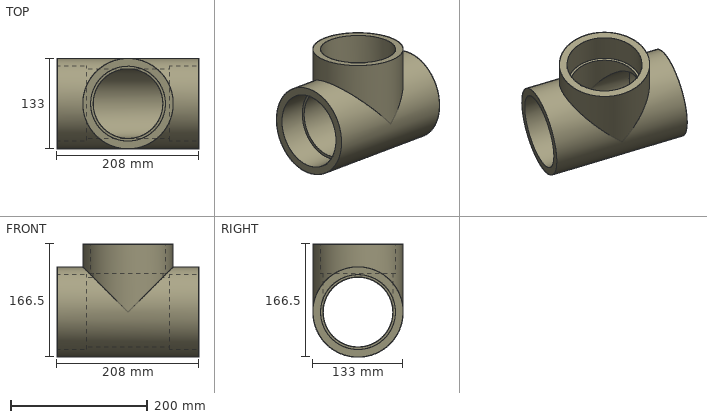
import cadquery as cq

run_length = 208.0
outer_diameter = 133.0
socket_diameter = 110.0
bore_diameter = 102.3
socket_depth = 43.0
total_height = 166.5

half_run = run_length / 2
branch_reach = total_height - outer_diameter / 2


def cylinder(diameter, start, direction, length):
    return cq.Workplane(
        cq.Solid.makeCylinder(diameter / 2, length, cq.Vector(*start), cq.Vector(*direction))
    )


def tee(diameter):
    """Run and branch cylinders of one diameter, joined at the origin."""
    run = cylinder(diameter, (-half_run, 0, 0), (1, 0, 0), run_length)
    branch = cylinder(diameter, (0, 0, 0), (0, 0, 1), branch_reach)
    return run.union(branch)


result = tee(outer_diameter).cut(tee(bore_diameter))

open_ends = [
    ((-half_run, 0, 0), (1, 0, 0)),
    ((half_run, 0, 0), (-1, 0, 0)),
    ((0, 0, branch_reach), (0, 0, -1)),
]
for end_centre, inward in open_ends:
    result = result.cut(cylinder(socket_diameter, end_centre, inward, socket_depth))